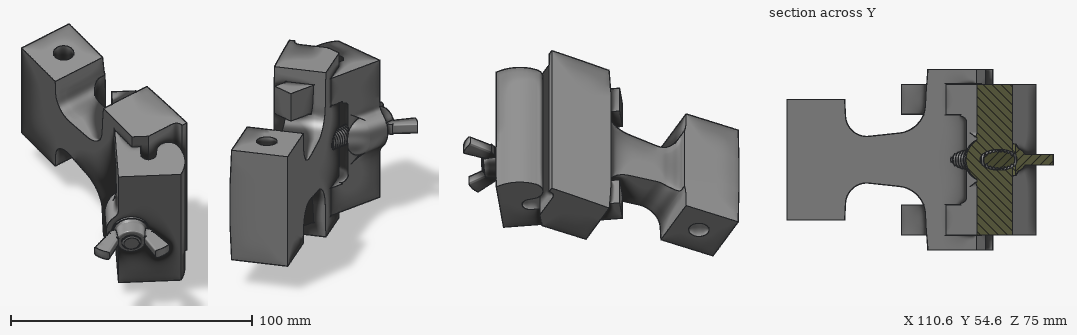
import cadquery as cq
import math

BLOCK_SIZE = 25.0
BLOCK_HEIGHT = 50.0
BLOCK_CROWN = 0.8
BLOCK_TOP_LENGTH = 24.0
MOUNT_HOLE_DIA = 8.45
HEAD_HEIGHT = 75.0
HEAD_TOP_START = 58.4
HEAD_WALL_START = 57.45
HEAD_END = 82.4
HEAD_BACK_LEFT = 22.1
HEAD_BACK_MIDDLE = (72.0, 22.85)
HEAD_BACK_RIGHT = 23.3
LIP_END = 85.35
LIP_UNDERSIDE = 20.9
WAIST_THICKNESS = 16.65
WAIST_BACK_FILLET = 5.4
BLOCK_WALL_FOOT = (24.35, 18.0)
WAIST_LEFT = (34.05, 9.75)
WAIST_RIGHT = (46.7, 11.1)
HEAD_WALL_FOOT_Z = 22.5
HEAD_WALL_BEND = (57.9, 30.8)

JAW_TILT = 32.3
JAW_CORNER = (89.4, -14.5)
JAW_HEIGHT = 62.5
JAW_LENGTH = 49.65
JAW_DEPTH = 25.95
ARM_THICKNESS = 10.0
ARM_WIDTH = 12.5
NOTCH_DIA = 6.45
NOTCH_U = -12.6
HOOK_CENTER = (-14.1, 21.6)
HOOK_RADIUS = 4.85
HOOK_TIP_ANGLE = 120.0
POCKET_MOUTH_U = -17.7
POCKET_END_U = -13.5
POCKET_END_V = 7.6
POCKET_CORNER = 3.0
ARM_CLEARANCE = 0.25
BOSS_RADIUS = 10.0
BOSS_FILLET = 5.0
BOSS_DOME_U = -9.8
BOSS_BLEND_END_U = -16.0

SCREW_DIA = 8.0
SCREW_ROOT_DIA = 6.45
SCREW_PITCH = 1.25
SCREW_END_U = 8.3
SCREW_TURNS = 32
CLEARANCE_DIA = 8.45
WASHER_DIA = 14.95
WASHER_THICKNESS = 1.0
NUT_COLLAR_RADIUS = 7.2
NUT_COLLAR_END = 2.1
NUT_HUB_BASE_RADIUS = 6.5
NUT_HUB_TIP_RADIUS = 5.9
NUT_END = 7.3
NUT_TIP_ROUND = 0.6
NUT_COLLAR_FILLET = 0.7
WING_THICKNESS = 4.5
WING_EDGE_ROUND = 1.1
WING_ROOT = (2.1, 4.5)
WING_SHOULDER = (2.2, 7.4)
WING_ELBOW = (3.3, 9.3)
WING_TIP_OUTER = (11.4, 15.6)
WING_TIP_MIDDLE = (13.4, 13.4)
WING_TIP_INNER = (15.0, 9.5)
WING_CROTCH = (7.2, 5.4)
WING_INNER_ROOT = (7.2, 4.5)

HALF_JAW = JAW_HEIGHT / 2
HALF_GAP = HALF_JAW - ARM_WIDTH
SCREW_V = ARM_THICKNESS / 2
SEAT_U = -16.8

tilt = math.radians(JAW_TILT)


def placed(part):
    """Move a part from the jaw's own axes (u, v, Z) to its place on the clamp body."""
    return part.rotate((0, 0, 0), (0, 0, 1), -JAW_TILT).translate((JAW_CORNER[0], JAW_CORNER[1], 0))


def screw_plane(u):
    """Plane square to the screw axis at u; its local x is v and its local y is Z."""
    return cq.Plane(origin=(u, SCREW_V, 0), xDir=(0, 1, 0), normal=(1, 0, 0))


def screw_cylinder(diameter, u_start, u_end):
    return cq.Workplane(screw_plane(u_start)).circle(diameter / 2).extrude(u_end - u_start)


def revolve_on_screw(points):
    """Revolve an outline of (u, radius) points about the screw axis."""
    outline = [(u, SCREW_V + radius) for u, radius in points]
    return cq.Workplane("XY").polyline(outline).close().revolve(360, (0, SCREW_V), (1, SCREW_V))


def jaw_box(u_start, u_end, v_start, v_end, z_start, z_end):
    return (
        cq.Workplane("XY")
        .workplane(offset=z_start)
        .moveTo((u_start + u_end) / 2, (v_start + v_end) / 2)
        .rect(u_end - u_start, v_end - v_start)
        .extrude(z_end - z_start)
    )


SCREW_START_U = SCREW_END_U - SCREW_TURNS * SCREW_PITCH


def half_front_outline(side):
    """Waisted outline of the upper (side = 1) or lower (side = -1) half, one body depth thick."""
    return (
        cq.Workplane("XZ")
        .moveTo(0, 0)
        .lineTo(0, side * BLOCK_HEIGHT / 2)
        .lineTo(BLOCK_TOP_LENGTH, side * BLOCK_HEIGHT / 2)
        .lineTo(BLOCK_WALL_FOOT[0], side * BLOCK_WALL_FOOT[1])
        .tangentArcPoint((WAIST_LEFT[0], side * WAIST_LEFT[1]), relative=False)
        .lineTo(WAIST_RIGHT[0], side * WAIST_RIGHT[1])
        .tangentArcPoint((HEAD_WALL_START, side * HEAD_WALL_FOOT_Z), relative=False)
        .lineTo(HEAD_WALL_BEND[0], side * HEAD_WALL_BEND[1])
        .lineTo(HEAD_TOP_START, side * HEAD_HEIGHT / 2)
        .lineTo(LIP_END, side * HEAD_HEIGHT / 2)
        .lineTo(LIP_END, 0)
        .close()
        .extrude(-BLOCK_SIZE)
    )


def body_plan():
    """Plan of the body: full-depth block, thin waist and the head with its lip and chamfer."""
    chamfer_foot = JAW_CORNER[0] + SEAT_U / math.cos(tilt) - JAW_CORNER[1] * math.tan(tilt)
    chamfer_rise = (HEAD_END - chamfer_foot) / math.tan(tilt)
    lip_radius = LIP_END - HEAD_END
    diagonal = math.sqrt(0.5)
    lip_middle = (LIP_END - lip_radius * diagonal, LIP_UNDERSIDE - lip_radius * (1 - diagonal))
    fillet = WAIST_BACK_FILLET
    fillet_middle = (
        BLOCK_SIZE + fillet * (1 - diagonal),
        WAIST_THICKNESS + fillet * (1 - diagonal),
    )
    return (
        cq.Workplane("XY")
        .workplane(offset=-HEAD_HEIGHT / 2)
        .moveTo(0, 0)
        .lineTo(chamfer_foot, 0)
        .lineTo(HEAD_END, chamfer_rise)
        .lineTo(HEAD_END, LIP_UNDERSIDE - lip_radius)
        .threePointArc(lip_middle, (LIP_END, LIP_UNDERSIDE))
        .lineTo(LIP_END, HEAD_BACK_RIGHT)
        .threePointArc(HEAD_BACK_MIDDLE, (HEAD_WALL_START, HEAD_BACK_LEFT))
        .lineTo(HEAD_WALL_START, WAIST_THICKNESS)
        .lineTo(BLOCK_SIZE + fillet, WAIST_THICKNESS)
        .threePointArc(fillet_middle, (BLOCK_SIZE, WAIST_THICKNESS + fillet))
        .lineTo(BLOCK_SIZE, BLOCK_SIZE)
        .lineTo(0, BLOCK_SIZE)
        .close()
        .extrude(HEAD_HEIGHT)
    )


def crown_envelope():
    """Space under the block's crowned back face, running the whole length of the body."""
    edge = BLOCK_SIZE - BLOCK_CROWN
    return (
        cq.Workplane("YZ")
        .moveTo(edge, -BLOCK_HEIGHT / 2)
        .threePointArc((BLOCK_SIZE, 0), (edge, BLOCK_HEIGHT / 2))
        .lineTo(edge, HEAD_HEIGHT / 2)
        .lineTo(0, HEAD_HEIGHT / 2)
        .lineTo(0, -HEAD_HEIGHT / 2)
        .lineTo(edge, -HEAD_HEIGHT / 2)
        .close()
        .extrude(LIP_END)
    )


def make_body():
    body = half_front_outline(1).union(half_front_outline(-1))
    body = body.intersect(body_plan()).intersect(crown_envelope())
    mount_hole = (
        cq.Workplane("XY")
        .center(BLOCK_SIZE / 2, BLOCK_SIZE / 2)
        .circle(MOUNT_HOLE_DIA / 2)
        .extrude(BLOCK_HEIGHT / 2, both=True)
    )
    body = body.cut(mount_hole)
    for z_start in (HALF_GAP, -HALF_JAW):
        slot = jaw_box(
            -JAW_LENGTH, 0,
            -ARM_CLEARANCE, ARM_THICKNESS + ARM_CLEARANCE,
            z_start - ARM_CLEARANCE, z_start + ARM_WIDTH + ARM_CLEARANCE,
        )
        body = body.cut(placed(slot))
    return body.cut(placed(screw_cylinder(SCREW_DIA, SCREW_START_U, 0)))


def on_circle(center, radius, degrees):
    angle = math.radians(degrees)
    return (center[0] + radius * math.cos(angle), center[1] + radius * math.sin(angle))


def jaw_profile():
    """Arm, round notch, hook and crowned back, extruded over the full jaw height."""
    notch_radius = NOTCH_DIA / 2
    notch_center = (NOTCH_U, ARM_THICKNESS + notch_radius)
    du = HOOK_CENTER[0] - notch_center[0]
    dv = HOOK_CENTER[1] - notch_center[1]
    spread = math.degrees(math.acos((notch_radius + HOOK_RADIUS) / math.hypot(du, dv)))
    throat = math.degrees(math.atan2(dv, du)) - spread
    notch_end = on_circle(notch_center, notch_radius, throat)
    notch_middle = on_circle(notch_center, notch_radius, (throat - 90) / 2)
    hook_start = on_circle(HOOK_CENTER, HOOK_RADIUS, throat + 180)
    hook_middle = on_circle(HOOK_CENTER, HOOK_RADIUS, (throat + 180 + HOOK_TIP_ANGLE) / 2)
    hook_end = on_circle(HOOK_CENTER, HOOK_RADIUS, HOOK_TIP_ANGLE)
    return (
        cq.Workplane("XY")
        .workplane(offset=-HALF_JAW)
        .moveTo(0, 0)
        .lineTo(-JAW_LENGTH, 0)
        .lineTo(-JAW_LENGTH, ARM_THICKNESS)
        .lineTo(NOTCH_U, ARM_THICKNESS)
        .threePointArc(notch_middle, notch_end)
        .lineTo(*hook_start)
        .threePointArc(hook_middle, hook_end)
        .tangentArcPoint((0, JAW_DEPTH), relative=False)
        .close()
        .extrude(JAW_HEIGHT)
    )


def arm_pocket():
    """Gap between the arms, ending in a concave wall with rounded corners."""
    reach = POCKET_END_U - POCKET_MOUTH_U
    radius = (POCKET_END_V ** 2 + reach ** 2) / (2 * reach)
    center_u = POCKET_END_U - radius
    pocket_top = JAW_DEPTH / 2
    gap = jaw_box(-JAW_LENGTH, POCKET_MOUTH_U - POCKET_CORNER, 0, pocket_top, -HALF_GAP, HALF_GAP)
    round_end = (
        cq.Workplane("XY")
        .workplane(offset=-HALF_GAP)
        .center(center_u, POCKET_END_V)
        .circle(radius)
        .extrude(2 * HALF_GAP)
        .edges("%CIRCLE")
        .fillet(POCKET_CORNER)
    )
    straight_end = jaw_box(center_u, POCKET_END_U, POCKET_END_V, pocket_top, -HALF_GAP, HALF_GAP)
    straight_end = straight_end.faces(">X").edges("|Y").fillet(POCKET_CORNER)
    return gap.union(straight_end).union(round_end)


def boss():
    """Round boss around the screw: domed at its inner end, blended into the jaw's lower face."""
    diagonal = BOSS_RADIUS * math.sqrt(0.5)
    barrel = (
        cq.Workplane("XY")
        .moveTo(0, SCREW_V)
        .lineTo(0, SCREW_V - BOSS_RADIUS)
        .lineTo(BOSS_DOME_U, SCREW_V - BOSS_RADIUS)
        .threePointArc(
            (BOSS_DOME_U - diagonal, SCREW_V - diagonal), (BOSS_DOME_U - BOSS_RADIUS, SCREW_V)
        )
        .close()
        .revolve(360, (0, SCREW_V), (1, SCREW_V))
    )
    below = jaw_box(-JAW_LENGTH, 0, -BOSS_RADIUS, SCREW_V, -2 * BOSS_RADIUS, 2 * BOSS_RADIUS)
    return barrel.intersect(below)


def boss_blend(side):
    """Concave fillet along one side of the boss, tapering off beside the dome."""
    center_distance = BOSS_RADIUS + BOSS_FILLET
    foot = math.sqrt(center_distance ** 2 - (SCREW_V + BOSS_FILLET) ** 2)
    tangent_z = foot * BOSS_RADIUS / center_distance
    tangent_v = SCREW_V - (SCREW_V + BOSS_FILLET) * BOSS_RADIUS / center_distance
    turn = math.atan2(foot, SCREW_V + BOSS_FILLET) / 2
    arc_z = foot - BOSS_FILLET * math.sin(turn)
    arc_v = -BOSS_FILLET + BOSS_FILLET * math.cos(turn)
    wedge = (
        cq.Workplane(screw_plane(BOSS_BLEND_END_U))
        .moveTo(-SCREW_V, side * foot)
        .threePointArc((arc_v - SCREW_V, side * arc_z), (tangent_v - SCREW_V, side * tangent_z))
        .lineTo(0, 0)
        .lineTo(0, side * foot)
        .close()
        .extrude(-BOSS_BLEND_END_U)
    )
    taper = (
        cq.Workplane(cq.Plane((0, -BOSS_RADIUS, 0), (1, 0, 0), (0, 1, 0)))
        .polyline([
            (0, 0),
            (BOSS_DOME_U, 0),
            (BOSS_DOME_U, -side * tangent_z),
            (BOSS_BLEND_END_U, -side * foot),
            (0, -side * foot),
        ])
        .close()
        .extrude(2 * BOSS_RADIUS)
    )
    return wedge.intersect(taper)


def make_jaw():
    jaw = jaw_profile().union(boss())
    for side in (1, -1):
        jaw = jaw.union(boss_blend(side))
    jaw = jaw.cut(arm_pocket())
    return jaw.cut(screw_cylinder(CLEARANCE_DIA, -JAW_LENGTH, WASHER_THICKNESS))


def make_screw():
    """Threaded rod; each turn of the thread is one V-shaped ring."""
    points = [(SCREW_START_U, 0)]
    for turn in range(SCREW_TURNS):
        root_u = SCREW_START_U + turn * SCREW_PITCH
        points.append((root_u, SCREW_ROOT_DIA / 2))
        points.append((root_u + SCREW_PITCH / 2, SCREW_DIA / 2))
    points.append((SCREW_END_U, SCREW_ROOT_DIA / 2))
    points.append((SCREW_END_U, 0))
    return revolve_on_screw(points)


def make_washer():
    washer = screw_cylinder(WASHER_DIA, 0, WASHER_THICKNESS)
    return washer.cut(screw_cylinder(CLEARANCE_DIA, 0, WASHER_THICKNESS))


def wing(side):
    """One wing: a plain root on the hub and a blade with rounded long edges."""
    def place(point):
        return (point[0], SCREW_V + side * point[1])

    def long_edges(start, end):
        return cq.selectors.ParallelDirSelector(
            cq.Vector(end[0] - start[0], side * (end[1] - start[1]), 0)
        )

    plane = cq.Workplane("XY").workplane(offset=-WING_THICKNESS / 2)
    root_points = [WING_ROOT, WING_SHOULDER, WING_ELBOW, WING_CROTCH, WING_INNER_ROOT]
    root = plane.polyline([place(point) for point in root_points]).close().extrude(WING_THICKNESS)
    blade = (
        plane
        .moveTo(*place(WING_ELBOW))
        .lineTo(*place(WING_TIP_OUTER))
        .threePointArc(place(WING_TIP_MIDDLE), place(WING_TIP_INNER))
        .lineTo(*place(WING_CROTCH))
        .close()
        .extrude(WING_THICKNESS)
    )
    blade = blade.edges(
        long_edges(WING_ELBOW, WING_TIP_OUTER) + long_edges(WING_CROTCH, WING_TIP_INNER)
    ).fillet(WING_EDGE_ROUND)
    return root.union(blade)


def make_wing_nut():
    nut = revolve_on_screw([
        (WASHER_THICKNESS, 0),
        (WASHER_THICKNESS, NUT_COLLAR_RADIUS),
        (NUT_COLLAR_END, NUT_HUB_BASE_RADIUS),
        (NUT_END, NUT_HUB_TIP_RADIUS),
        (NUT_END, 0),
    ])
    collar_edge = cq.selectors.RadiusNthSelector(1)
    nut = nut.edges(collar_edge).fillet(NUT_COLLAR_FILLET)
    nut = nut.faces(">X").edges().fillet(NUT_TIP_ROUND)
    for side in (1, -1):
        nut = nut.union(wing(side))
    return nut.cut(screw_cylinder(SCREW_DIA, 0, SCREW_END_U))


body = make_body()
jaw = placed(make_jaw())
screw = placed(make_screw())
washer = placed(make_washer())
wing_nut = placed(make_wing_nut())

result = cq.Compound.makeCompound([body.val(), jaw.val(), screw.val(), washer.val(), wing_nut.val()])